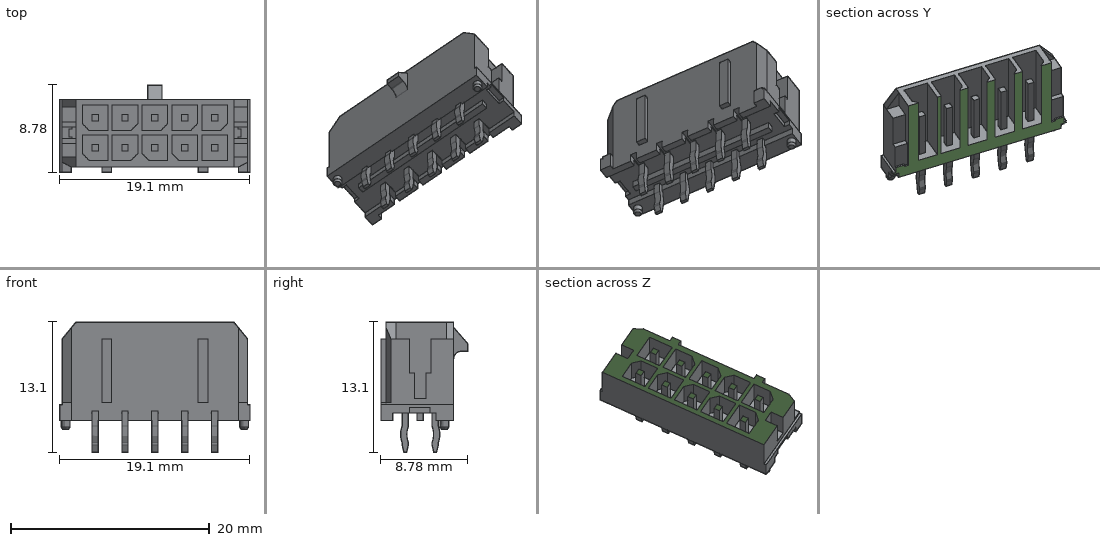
import cadquery as cq


LENGTH = 19.15
HOUSING_TOP = 9.92
REAR_Y = 3.37
FRONT_Y = -3.45
HOUSING_HALF = 9.33
SHOULDER_HALF = 7.95
SHOULDER_Z = 8.23
CORNER_X = 0.94
CORNER_Y = 0.5

FLANGE_TOP = 1.6
FRONT_PROJECTION = 0.52
EAR_TOP = 1.82

END_RECESS_REAR = 2.62
END_RECESS_FRONT = -2.41
SLOT_WIDTH = 2.16
SLOT_BOTTOM = 4.8
NARROW_SLOT_WIDTH = 1.15
NARROW_SLOT_BOTTOM = 2.25
CLIP_POCKET_DEPTH = 0.2
CLIP_POCKET_OUTER_X = 8.35
CLIP_TAB_OUTER_X = 8.65
CLIP_TAB_WIDTH = 0.82

UNDERCUT_REAR = 1.59
UNDERCUT_FRONT = -2.75
UNDERCUT_HEIGHT = 0.77
MIDDLE_RIB_WIDTH = 0.65
END_NOTCH_WIDTH = 2.03
END_NOTCH_TOP = 1.35
END_NOTCH_DEPTH = 0.57
PIN_NOTCH_TOP = 0.95

COLUMNS = 5
PITCH = 3.0
CAVITY_SIZE = 2.57
CAVITY_FLOOR = 2.3
KEY_CHAMFER = 0.7
REAR_ROW_KEYS = ("left", "right", "right", "right", "right")
FRONT_ROW_KEYS = ("left", "right", "left", "left", None)

PIN_SIZE = 0.65
PIN_TOP = 7.28
BEND_TOP = -0.54
BEND_BOTTOM = -2.2
BEND_OFFSET = 0.15
TAPER_TOP = -2.43
PIN_TIP = -3.18
PIN_TIP_WIDTH = 0.29

GUIDE_RIB_X = 4.85
GUIDE_RIB_WIDTH = 1.0

LATCH_WIDTH = 1.47
LATCH_PROJECTION = 1.44
LATCH_RAMP_TOP = 9.38
LATCH_RAMP_BOTTOM = 7.74
LATCH_UNDERSIDE = 6.97
LATCH_FILLET = 0.75

PEG_X = 8.98
PEG_Y = 2.43
PEG_DIAMETER = 0.9
PEG_LENGTH = 0.88
PEG_CHAMFER_HEIGHT = 0.25
PEG_CHAMFER_WIDTH = 0.15

HALF_LENGTH = LENGTH / 2
HOUSING_MIDDLE_Y = (REAR_Y + FRONT_Y) / 2
FLANGE_FRONT_Y = FRONT_Y - FRONT_PROJECTION
COLUMN_XS = [(column - (COLUMNS - 1) / 2) * PITCH for column in range(COLUMNS)]
REAR_ROW_Y = PITCH / 2
FRONT_ROW_Y = -PITCH / 2


def box(x_range, y_range, z_range):
    """Box between two limits on each axis."""
    (x0, x1), (y0, y1), (z0, z1) = x_range, y_range, z_range
    return cq.Workplane("XY").box(x1 - x0, y1 - y0, z1 - z0, centered=False).translate((x0, y0, z0))


def centred(width, middle=0.0):
    """Limits of a span of the given width about its middle."""
    return (middle - width / 2, middle + width / 2)


def extrude_along_x(profile, width, middle=0.0):
    """Extrude a YZ profile by the given width about X = middle."""
    return profile.extrude(width / 2, both=True).translate((middle, 0, 0))


def both_ends(left_end):
    """Left-end feature together with its mirror image at the right end."""
    return left_end.union(left_end.mirror("YZ"))


def make_shell():
    """Housing block with sloped top ends and chamfered front corners."""
    shell = (
        cq.Workplane("XZ", origin=(0, REAR_Y, 0))
        .moveTo(-HOUSING_HALF, 0)
        .lineTo(HOUSING_HALF, 0)
        .lineTo(HOUSING_HALF, SHOULDER_Z)
        .lineTo(SHOULDER_HALF, HOUSING_TOP)
        .lineTo(-SHOULDER_HALF, HOUSING_TOP)
        .lineTo(-HOUSING_HALF, SHOULDER_Z)
        .close()
        .extrude(REAR_Y - FRONT_Y)
    )
    corner = (
        cq.Workplane("XY", origin=(0, 0, EAR_TOP))
        .moveTo(-HOUSING_HALF, FRONT_Y)
        .lineTo(-HOUSING_HALF + CORNER_X, FRONT_Y)
        .lineTo(-HOUSING_HALF, FRONT_Y + CORNER_Y)
        .close()
        .extrude(HOUSING_TOP - EAR_TOP)
    )
    return shell.cut(both_ends(corner))


def make_feet():
    """Flange along the foot of each end wall, with an ear at the front."""
    flange = box((-HALF_LENGTH, -HOUSING_HALF), (FLANGE_FRONT_Y, REAR_Y), (0, FLANGE_TOP))
    ear = box((-HOUSING_HALF, -HOUSING_HALF + CORNER_X), (FLANGE_FRONT_Y, FRONT_Y), (0, EAR_TOP))
    return both_ends(flange.union(ear))


def make_end_recesses():
    """Stepped recess in each end wall, with a clip pocket in its floor."""
    depth = (-HOUSING_HALF, -SHOULDER_HALF)
    pocket_height = (NARROW_SLOT_BOTTOM - CLIP_POCKET_DEPTH, NARROW_SLOT_BOTTOM)
    upper = box(depth, (END_RECESS_FRONT, END_RECESS_REAR), (SHOULDER_Z, HOUSING_TOP))
    slot = box(depth, centred(SLOT_WIDTH), (SLOT_BOTTOM, SHOULDER_Z))
    narrow_slot = box(depth, centred(NARROW_SLOT_WIDTH), (NARROW_SLOT_BOTTOM, SLOT_BOTTOM))
    pocket = box((-CLIP_POCKET_OUTER_X, -SHOULDER_HALF), centred(NARROW_SLOT_WIDTH), pocket_height)
    tab = box((-CLIP_TAB_OUTER_X, -SHOULDER_HALF), centred(CLIP_TAB_WIDTH), pocket_height)
    return both_ends(upper.union(slot).union(narrow_slot).union(pocket).union(tab))


def make_underside_cut():
    """Undercut through the full length, with a taller notch at each end."""
    undercut = box(
        (-HALF_LENGTH, HALF_LENGTH), (UNDERCUT_FRONT, UNDERCUT_REAR), (0, UNDERCUT_HEIGHT)
    )
    notch = box(
        (-HALF_LENGTH, -HALF_LENGTH + END_NOTCH_DEPTH),
        centred(END_NOTCH_WIDTH, HOUSING_MIDDLE_Y),
        (0, END_NOTCH_TOP),
    )
    return undercut.union(both_ends(notch))


def make_cavity(x, y, key):
    """Square contact cavity; the key names the side whose front corner is filled."""
    cavity = box(centred(CAVITY_SIZE, x), centred(CAVITY_SIZE, y), (CAVITY_FLOOR, HOUSING_TOP))
    if key == "left":
        return cavity.edges("|Z and <X and <Y").chamfer(KEY_CHAMFER)
    if key == "right":
        return cavity.edges("|Z and >X and <Y").chamfer(KEY_CHAMFER)
    return cavity


def make_rear_pin(x):
    """Square pin of the rear row with a bowed, tapered tail."""
    half = PIN_SIZE / 2
    half_tip = PIN_TIP_WIDTH / 2
    bend_middle = (BEND_TOP + BEND_BOTTOM) / 2
    profile = (
        cq.Workplane("YZ", origin=(0, REAR_ROW_Y, 0))
        .moveTo(-half, PIN_TOP)
        .lineTo(-half, BEND_TOP)
        .threePointArc((-half + BEND_OFFSET, bend_middle), (-half, BEND_BOTTOM))
        .lineTo(-half, TAPER_TOP)
        .lineTo(-half_tip, PIN_TIP)
        .lineTo(half_tip, PIN_TIP)
        .lineTo(half, TAPER_TOP)
        .lineTo(half, BEND_BOTTOM)
        .threePointArc((half + BEND_OFFSET, bend_middle), (half, BEND_TOP))
        .lineTo(half, PIN_TOP)
        .close()
    )
    return extrude_along_x(profile, PIN_SIZE, x)


def make_latch():
    """Wedge-shaped latch ramp blended into the rear wall underneath."""
    tip_y = REAR_Y + LATCH_PROJECTION
    profile = (
        cq.Workplane("YZ")
        .moveTo(REAR_Y, LATCH_RAMP_TOP)
        .lineTo(tip_y, LATCH_RAMP_BOTTOM)
        .lineTo(tip_y, LATCH_UNDERSIDE)
        .lineTo(REAR_Y + LATCH_FILLET, LATCH_UNDERSIDE)
        .tangentArcPoint((REAR_Y, LATCH_UNDERSIDE - LATCH_FILLET), relative=False)
        .close()
    )
    return extrude_along_x(profile, LATCH_WIDTH)


def make_pegs():
    """Round locating peg with a chamfered tip under each end."""
    peg = (
        cq.Workplane("XY")
        .center(-PEG_X, PEG_Y)
        .circle(PEG_DIAMETER / 2)
        .extrude(-PEG_LENGTH)
        .faces("<Z")
        .chamfer(PEG_CHAMFER_HEIGHT, PEG_CHAMFER_WIDTH)
    )
    return both_ends(peg)


result = make_shell().cut(make_end_recesses()).union(make_feet()).cut(make_underside_cut())
middle_rib = box((-SHOULDER_HALF, SHOULDER_HALF), centred(MIDDLE_RIB_WIDTH), (0, UNDERCUT_HEIGHT))
result = result.union(middle_rib)

for row_y, keys in ((REAR_ROW_Y, REAR_ROW_KEYS), (FRONT_ROW_Y, FRONT_ROW_KEYS)):
    for column_x, key in zip(COLUMN_XS, keys):
        result = result.cut(make_cavity(column_x, row_y, key))

for column_x in COLUMN_XS:
    pin_notch = box(centred(PIN_SIZE, column_x), (FRONT_Y, FRONT_ROW_Y), (0, PIN_NOTCH_TOP))
    rear_pin = make_rear_pin(column_x)
    result = result.cut(pin_notch).union(rear_pin).union(rear_pin.mirror("XZ"))

guide_rib = box(
    centred(GUIDE_RIB_WIDTH, -GUIDE_RIB_X), (FLANGE_FRONT_Y, FRONT_Y), (EAR_TOP, SHOULDER_Z)
)
result = result.union(both_ends(guide_rib)).union(make_latch()).union(make_pegs())